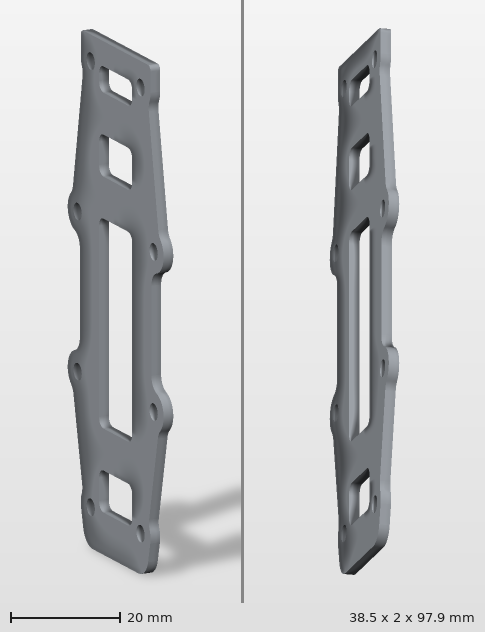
import cadquery as cq
import math

thickness = 2.0
top_z = 50.33
length = 97.86
bottom_z = top_z - length

hole_diameter = 3.3
lug_radius = 4.0
mid_hole_pitch = 30.5
end_hole_pitch = 20.0
mid_hole_x = mid_hole_pitch / 2
mid_hole_z = mid_hole_pitch / 2
end_hole_x = end_hole_pitch / 2
top_hole_z = 45.25
bottom_hole_z = -39.75

waist_half_width = 14.37
upper_taper_wide_x = 17.92
upper_taper_narrow_x = 12.64
lower_taper_wide_x = 17.92
lower_taper_narrow_x = 12.69
end_half_width = end_hole_x + lug_radius

bottom_corner_x = 9.12

top_corner_radius = 1.0
bottom_corner_radius = lug_radius
neck_and_lug_fillet = 3.0

window_width = 13.3
window_heights = [5.0, 8.0, 40.0, 8.0]
window_gap = 8.0
window_top_z = 45.53
window_corner_radius = 1.75

hole_centers = [
    (side * x, z)
    for side in (-1, 1)
    for x, z in (
        (end_hole_x, top_hole_z),
        (mid_hole_x, mid_hole_z),
        (mid_hole_x, -mid_hole_z),
        (end_hole_x, bottom_hole_z),
    )
]


def plate_sketch():
    """Workplane in XZ, offset so that an extrusion is centred on Y = 0."""
    return cq.Workplane("XZ", origin=(0, thickness / 2, 0))


def make_body():
    """Tapered body with a lug around every hole, before the sides are blended."""
    right_side = [
        (end_half_width, top_z),
        (end_half_width, top_hole_z),
        (upper_taper_narrow_x, top_hole_z),
        (upper_taper_wide_x, mid_hole_z),
        (waist_half_width, mid_hole_z),
        (waist_half_width, -mid_hole_z),
        (lower_taper_wide_x, -mid_hole_z),
        (lower_taper_narrow_x, bottom_hole_z),
    ]
    left_side = [(-x, z) for x, z in reversed(right_side)]
    body = plate_sketch().polyline(right_side + left_side).close().extrude(thickness)
    lugs = plate_sketch().pushPoints(hole_centers).circle(lug_radius).extrude(thickness)
    return body.union(lugs)


def make_bottom_end():
    """Sloped end between the bottom lugs and the bottom edge, tangent to lugs and corner arcs."""
    corner_z = bottom_z + bottom_corner_radius
    slope = math.atan2(end_hole_x - bottom_corner_x, bottom_hole_z - corner_z)
    across = lug_radius * math.cos(slope)
    down = lug_radius * math.sin(slope)
    mid_angle = (math.pi / 2 + slope) / 2
    arc_mid_x = bottom_corner_x + bottom_corner_radius * math.cos(mid_angle)
    arc_mid_z = corner_z - bottom_corner_radius * math.sin(mid_angle)
    return (
        plate_sketch()
        .moveTo(end_hole_x, bottom_hole_z)
        .lineTo(end_hole_x + across, bottom_hole_z - down)
        .lineTo(bottom_corner_x + across, corner_z - down)
        .threePointArc((arc_mid_x, arc_mid_z), (bottom_corner_x, bottom_z))
        .lineTo(-bottom_corner_x, bottom_z)
        .threePointArc((-arc_mid_x, arc_mid_z), (-bottom_corner_x - across, corner_z - down))
        .lineTo(-end_hole_x - across, bottom_hole_z - down)
        .lineTo(-end_hole_x, bottom_hole_z)
        .close()
        .extrude(thickness)
    )


def round_edges(body, radius, z_low, z_high):
    """Round the edges through the thickness that lie between two heights."""
    box = cq.selectors.BoxSelector(
        (-mid_hole_pitch, -thickness, z_low),
        (mid_hole_pitch, thickness, z_high),
    )
    return body.edges("|Y").edges(box).fillet(radius)


def blend_outline(body):
    """Blend each lug into the sides and round the top corners."""
    hole_radius = hole_diameter / 2
    blend_ranges = [
        (mid_hole_z, top_hole_z - hole_radius),
        (-mid_hole_z, mid_hole_z),
        (bottom_hole_z + hole_radius, -mid_hole_z),
    ]
    for z_low, z_high in blend_ranges:
        body = round_edges(body, neck_and_lug_fillet, z_low, z_high)
    return round_edges(body, top_corner_radius, top_hole_z + lug_radius, top_z + thickness)


def make_windows():
    """Cutters for the rounded windows, from the top one down."""
    cutters = cq.Workplane("XZ")
    window_top = window_top_z
    for height in window_heights:
        center_z = window_top - height / 2
        window = (
            plate_sketch()
            .center(0, center_z)
            .rect(window_width, height)
            .extrude(thickness)
            .edges("|Y")
            .fillet(window_corner_radius)
        )
        cutters = cutters.add(window)
        window_top -= height + window_gap
    return cutters.combine()


def make_holes():
    """Cutters for the screw holes."""
    return plate_sketch().pushPoints(hole_centers).circle(hole_diameter / 2).extrude(thickness)


plate = blend_outline(make_body().union(make_bottom_end()))
result = plate.cut(make_windows()).cut(make_holes())